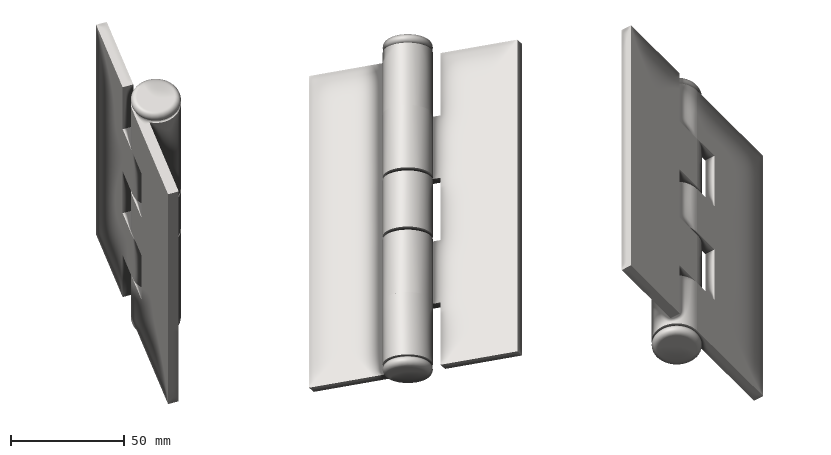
import cadquery as cq

TOTAL_HEIGHT = 160.0
TOTAL_WIDTH = 100.0
KNUCKLE_DIAMETER = 22.0
PIN_DIAMETER = 12.0
LEAF_THICKNESS = 5.0
HEAD_HEIGHT = 5.0
KNUCKLE_CLEARANCE = 2.0
CENTRE_GAP = 1.5
KNUCKLE_COUNT = 5

KNUCKLE_RADIUS = KNUCKLE_DIAMETER / 2
PIN_RADIUS = PIN_DIAMETER / 2
LEAF_WIDTH = TOTAL_WIDTH / 2
LEAF_HEIGHT = TOTAL_HEIGHT - 2 * HEAD_HEIGHT
LEAF_BOTTOM = -LEAF_HEIGHT / 2
LEAF_FRONT = -KNUCKLE_RADIUS
NOTCH_REACH = KNUCKLE_RADIUS + KNUCKLE_CLEARANCE
PITCH = LEAF_HEIGHT / KNUCKLE_COUNT

BAYS = [(LEAF_BOTTOM + i * PITCH, LEAF_BOTTOM + (i + 1) * PITCH) for i in range(KNUCKLE_COUNT)]
LEFT_KNUCKLES = [BAYS[1], BAYS[3]]
CENTRE_KNUCKLE = (BAYS[2][0] + CENTRE_GAP, BAYS[2][1] - CENTRE_GAP)
RIGHT_KNUCKLES = [BAYS[0], CENTRE_KNUCKLE, BAYS[4]]


def cylinder(radius, bottom, top):
    return cq.Workplane("XY").workplane(offset=bottom).circle(radius).extrude(top - bottom)


def plate(side, inner, outer, bottom, top):
    """Flat strip of leaf between two distances from the pin axis; side is -1 or +1 along X."""
    return (
        cq.Workplane("XY")
        .box(outer - inner, LEAF_THICKNESS, top - bottom, centered=(True, False, False))
        .translate((side * (inner + outer) / 2, LEAF_FRONT, bottom))
    )


def make_leaf(side, knuckle_spans):
    """Plate with a tab running tangentially into each knuckle, bored for the pin."""
    leaf = plate(side, NOTCH_REACH, LEAF_WIDTH, LEAF_BOTTOM, LEAF_BOTTOM + LEAF_HEIGHT)
    for bottom, top in knuckle_spans:
        tab = plate(side, 0, NOTCH_REACH, bottom, top)
        leaf = leaf.union(tab).union(cylinder(KNUCKLE_RADIUS, bottom, top))
    bore = cylinder(PIN_RADIUS, LEAF_BOTTOM, LEAF_BOTTOM + LEAF_HEIGHT)
    return leaf.cut(bore).clean()


def make_pin():
    """Shaft with a round-edged head at each end, revolved from a half profile."""
    shaft_end = LEAF_HEIGHT / 2
    pin_end = TOTAL_HEIGHT / 2
    head_middle = (shaft_end + pin_end) / 2
    head_flat_radius = KNUCKLE_RADIUS - HEAD_HEIGHT / 2
    return (
        cq.Workplane("XZ")
        .moveTo(0, -pin_end)
        .lineTo(head_flat_radius, -pin_end)
        .threePointArc((KNUCKLE_RADIUS, -head_middle), (head_flat_radius, -shaft_end))
        .lineTo(PIN_RADIUS, -shaft_end)
        .lineTo(PIN_RADIUS, shaft_end)
        .lineTo(head_flat_radius, shaft_end)
        .threePointArc((KNUCKLE_RADIUS, head_middle), (head_flat_radius, pin_end))
        .lineTo(0, pin_end)
        .close()
        .revolve(360, (0, 0, 0), (0, 1, 0))
    )


left_leaf = make_leaf(-1, LEFT_KNUCKLES)
right_leaf = make_leaf(1, RIGHT_KNUCKLES)
pin = make_pin()

result = cq.Compound.makeCompound([*left_leaf.solids().vals(), *right_leaf.solids().vals(), pin.val()])